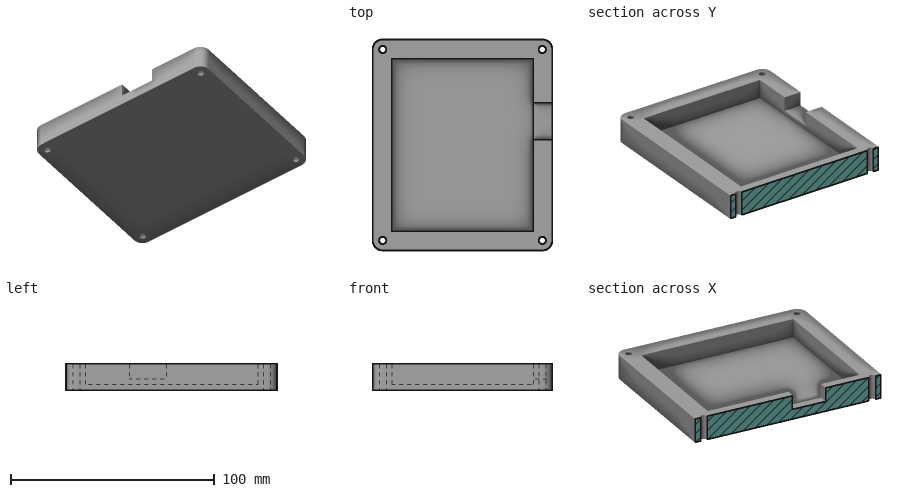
import cadquery as cq

width = 88.2
length = 103.6
height = 13.0
corner_radius = 5.0

wall = 9.5
floor_thickness = 3.0
pocket_width = width - 2 * wall
pocket_length = length - 2 * wall

notch_width = 18.2
notch_depth = 7.5
notch_center_y = 11.7

hole_diameter = 3.4
hole_spacing_x = width - 2 * corner_radius
hole_spacing_y = length - 2 * corner_radius


def make_body():
    block = cq.Workplane("XY").box(width, length, height, centered=(True, True, False))
    return block.edges("|Z").fillet(corner_radius)


def make_pocket():
    pocket_depth = height - floor_thickness
    pocket = cq.Workplane("XY").box(
        pocket_width, pocket_length, pocket_depth, centered=(True, True, False)
    )
    return pocket.translate((0, 0, floor_thickness))


def make_notch():
    notch = cq.Workplane("XY").box(wall, notch_width, notch_depth, centered=(False, True, False))
    return notch.translate((pocket_width / 2, notch_center_y, height - notch_depth))


def make_screw_holes():
    return (
        cq.Workplane("XY")
        .rarray(hole_spacing_x, hole_spacing_y, 2, 2)
        .circle(hole_diameter / 2)
        .extrude(height)
    )


result = make_body().cut(make_pocket()).cut(make_notch()).cut(make_screw_holes())